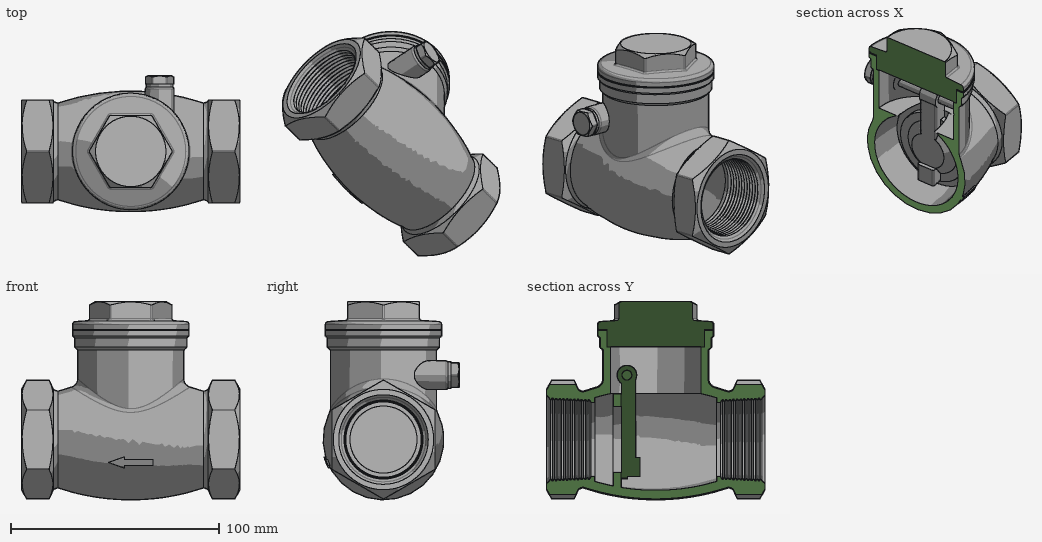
import cadquery as cq
import math


half_length = 52.5
belly_radius = 29.0
shoulder_x = 34.8
shoulder_radius = 23.3
wall = 4.5

end_hex_flats = 49.5
end_hex_edge_radius = 0.7
end_face_radius = 24.1
end_chamfer_angle = 30
end_hex_inner_x = 39.2
neck_start_x = 37.1
neck_start_radius = 24.2
neck_sag = 0.25

mouth_radius = 21.5
mouth_chamfer = 1.2
thread_pitch = 1.75
thread_depth = 1.25
thread_turns = 11
thread_taper = 0.8
throat_radius = 18.1
throat_length = 2.0

neck_radius = 25.5
neck_fillet = 4.0
collar_radius = 27.0
flange_radius = 28.0
collar_bottom_z = 42.9
collar_chamfer_z = 44.3
collar_top_z = 48.8
flange_chamfer_z = 49.8
flange_top_z = 52.4
bonnet_bore_radius = 22.0
bonnet_bore_bottom_z = 22.0
cap_thread_radius = 23.5
cap_thread_bottom_z = 44.5

gasket_thickness = 0.5
gasket_radius = 27.6
cap_bottom_z = flange_top_z + gasket_thickness
cap_shoulder_z = 56.7
cap_rim_radius = 1.6
cap_crown_rise = 0.6
cap_hex_flats = 34.7
cap_hex_edge_radius = 1.0
cap_hex_base_fillet = 0.9
cap_hex_chamfer_angle = 30
cap_top_z = 66.3
cap_top_radius = 16.9

hinge_x = 13.85
hinge_z = 30.9
boss_radius = 13.87 / 2
boss_inner_y = 15.0
boss_end_y = 31.0
boss_edge_radius = 1.1
washer_radius = 6.5
washer_thickness = 1.4
plug_hex_flats = 12.0
plug_hex_edge_radius = 0.6
plug_end_y = 36.4
plug_tip_radius = 5.6
plug_chamfer_angle = 30
shank_radius = 9.5 / 2
shank_end_y = 20.0
pin_radius = 2.5
pin_end_y = -18.5

seat_x = 16.5
seat_thickness = 4.0
seat_bore_radius = 32.2 / 2
disc_radius = 19.0
disc_thickness = 3.0
hub_base_radius = 14.5
hub_top_radius = 9.5
hub_height = 4.0
arm_width = 9.5
arm_edge_radius = 0.9
arm_eye_radius = 9.5 / 2
stop_height = 2.0
stop_top_z = -8.5
stop_bottom_z = -17.8

selector_margin = 0.1

arrow_z = -11.0
arrow_half_length = 10.75
arrow_head_length = 7.65
arrow_head_half_width = 2.7
arrow_shaft_half_width = 1.35
arrow_height = 0.8


def hex_corner_diameter(flats):
    return flats / math.cos(math.pi / 6)


def chamfer_rise(radius_change, angle):
    return radius_change * math.tan(math.radians(angle))


def belly_profile(offset, x_end):
    """Half profile of the belly, moved outward by offset, from -x_end to x_end."""
    sag = belly_radius - shoulder_radius
    arc_radius = (shoulder_x**2 + sag**2) / (2 * sag)
    arc_center_r = belly_radius - arc_radius
    end_radius = arc_center_r + math.sqrt((arc_radius + offset) ** 2 - x_end**2)
    return (
        cq.Workplane("XY")
        .moveTo(-x_end, 0)
        .lineTo(-x_end, end_radius)
        .threePointArc((0, belly_radius + offset), (x_end, end_radius))
        .lineTo(x_end, 0)
        .close()
    )


def revolve_about_x(profile):
    return profile.revolve(360, (0, 0, 0), (1, 0, 0))


def revolve_about_z(profile):
    return profile.revolve(360, (0, 0, 0), (0, 1, 0))


def belly(offset, x_end):
    return revolve_about_x(belly_profile(offset, x_end))


def pipe_end():
    """Chamfered hexagon at the -X end, with the concave neck that joins it to the belly."""
    corner_radius = hex_corner_diameter(end_hex_flats) / 2
    hexagon = (
        cq.Workplane("YZ", origin=(-half_length, 0, 0))
        .transformed(rotate=(0, 0, 90))
        .polygon(6, 2 * corner_radius)
        .extrude(half_length - shoulder_x)
        .edges("|X")
        .fillet(end_hex_edge_radius)
    )
    face_chamfer = chamfer_rise(corner_radius - end_face_radius, end_chamfer_angle)
    neck_middle = (
        -(neck_start_x + shoulder_x) / 2,
        (neck_start_radius + shoulder_radius) / 2 - neck_sag,
    )
    envelope = revolve_about_x(
        cq.Workplane("XY")
        .moveTo(-half_length, 0)
        .lineTo(-half_length, end_face_radius)
        .lineTo(-half_length + face_chamfer, corner_radius)
        .lineTo(-end_hex_inner_x, corner_radius)
        .lineTo(-neck_start_x, neck_start_radius)
        .threePointArc(neck_middle, (-shoulder_x, shoulder_radius))
        .lineTo(-shoulder_x, 0)
        .close()
    )
    return hexagon.intersect(envelope)


def pipe_thread():
    """Cutter for the -X mouth: chamfer, tapered V thread rings and plain throat."""
    root_radius = mouth_radius - mouth_chamfer
    depth = mouth_chamfer
    profile = (
        cq.Workplane("XY")
        .moveTo(-half_length, 0)
        .lineTo(-half_length, mouth_radius)
        .lineTo(-half_length + depth, root_radius)
    )
    for turn in range(thread_turns):
        ring_radius = root_radius - thread_taper * (turn + 1) / thread_turns
        profile = profile.lineTo(-half_length + depth + thread_pitch / 2, ring_radius - thread_depth)
        depth += thread_pitch
        profile = profile.lineTo(-half_length + depth, ring_radius)
    throat_start = -half_length + depth + thread_pitch / 2
    throat_end = throat_start + throat_length
    return revolve_about_x(
        profile.lineTo(throat_start, throat_radius)
        .lineTo(throat_end, throat_radius)
        .lineTo(throat_end, 0)
        .close()
    )


def chamber():
    """Hollow of the belly, split by the seat ring."""
    thread_length = mouth_chamfer + thread_pitch * (thread_turns + 1 / 2)
    chamber_half_length = half_length - thread_length - throat_length
    hollow = belly(-wall, chamber_half_length)
    seat = (
        cq.Workplane("YZ", origin=(seat_x, 0, 0))
        .circle(belly_radius)
        .circle(seat_bore_radius)
        .extrude(seat_thickness)
    )
    return hollow.cut(seat)


def bonnet_collar():
    return revolve_about_z(
        cq.Workplane("XZ")
        .moveTo(0, collar_bottom_z)
        .lineTo(neck_radius, collar_bottom_z)
        .lineTo(collar_radius, collar_chamfer_z)
        .lineTo(collar_radius, collar_top_z)
        .lineTo(flange_radius, flange_chamfer_z)
        .lineTo(flange_radius, flange_top_z)
        .lineTo(0, flange_top_z)
        .close()
    )


def rod_along_y(radius, y_start, y_end):
    """Cylinder on the hinge axis between two Y positions, y_start < y_end."""
    return (
        cq.Workplane("XZ", origin=(hinge_x, y_start, hinge_z))
        .circle(radius)
        .extrude(-(y_end - y_start))
    )


def hinge_boss():
    return rod_along_y(boss_radius, boss_inner_y, boss_end_y).faces(">Y").edges().fillet(boss_edge_radius)


def flow_arrow():
    head_x = -arrow_half_length + arrow_head_length
    prism = (
        cq.Workplane("XZ", origin=(0, 0, arrow_z))
        .polyline(
            [
                (-arrow_half_length, 0),
                (head_x, arrow_head_half_width),
                (head_x, arrow_shaft_half_width),
                (arrow_half_length, arrow_shaft_half_width),
                (arrow_half_length, -arrow_shaft_half_width),
                (head_x, -arrow_shaft_half_width),
                (head_x, -arrow_head_half_width),
            ]
        )
        .close()
        .extrude(belly_radius + arrow_height)
    )
    skin = belly(arrow_height, shoulder_x).cut(belly(-wall / 2, shoulder_x))
    return prism.intersect(skin)


def build_housing():
    neck = cq.Workplane("XY").circle(neck_radius).extrude(collar_bottom_z)
    shell = belly(0, shoulder_x).union(neck)
    junction_zone = cq.selectors.BoxSelector(
        (-belly_radius, -belly_radius, selector_margin),
        (belly_radius, belly_radius, collar_bottom_z - selector_margin),
    )
    shell = shell.edges(junction_zone).edges("not(#Z or |Z)").fillet(neck_fillet)
    end = pipe_end()
    shell = shell.union(end).union(end.mirror("YZ"))
    shell = shell.union(bonnet_collar()).union(hinge_boss()).union(flow_arrow())

    thread = pipe_thread()
    bonnet_bore = (
        cq.Workplane("XY", origin=(0, 0, bonnet_bore_bottom_z))
        .circle(bonnet_bore_radius)
        .extrude(flange_top_z - bonnet_bore_bottom_z)
    )
    cap_thread = (
        cq.Workplane("XY", origin=(0, 0, cap_thread_bottom_z))
        .circle(cap_thread_radius)
        .extrude(flange_top_z - cap_thread_bottom_z)
    )
    hollows = [chamber(), thread, thread.mirror("YZ"), bonnet_bore, cap_thread, *plug_shank_parts()]
    for hollow in hollows:
        shell = shell.cut(hollow)
    return shell


def build_gasket():
    return (
        cq.Workplane("XY", origin=(0, 0, flange_top_z))
        .circle(gasket_radius)
        .circle(cap_thread_radius)
        .extrude(gasket_thickness)
    )


def build_cap():
    crown_z = cap_shoulder_z + cap_crown_rise
    plate = revolve_about_z(
        cq.Workplane("XZ")
        .moveTo(0, cap_thread_bottom_z)
        .lineTo(cap_thread_radius, cap_thread_bottom_z)
        .lineTo(cap_thread_radius, cap_bottom_z)
        .lineTo(flange_radius, cap_bottom_z)
        .lineTo(flange_radius, cap_shoulder_z - cap_rim_radius)
        .radiusArc((flange_radius - cap_rim_radius, cap_shoulder_z), -cap_rim_radius)
        .lineTo(cap_hex_flats / 2, crown_z)
        .lineTo(0, crown_z)
        .close()
    )
    hexagon = (
        cq.Workplane("XY", origin=(0, 0, cap_bottom_z))
        .polygon(6, hex_corner_diameter(cap_hex_flats))
        .extrude(cap_top_z - cap_bottom_z)
        .edges("|Z")
        .fillet(cap_hex_edge_radius)
    )
    cap = plate.union(hexagon)
    base_edges = cq.selectors.BoxSelector(
        (-flange_radius, -flange_radius, cap_shoulder_z + selector_margin),
        (flange_radius, flange_radius, crown_z + selector_margin),
    )
    cap = cap.edges(base_edges).edges("not |Z").fillet(cap_hex_base_fillet)
    chamfer_drop = chamfer_rise(flange_radius - cap_top_radius, cap_hex_chamfer_angle)
    envelope = revolve_about_z(
        cq.Workplane("XZ")
        .moveTo(0, cap_thread_bottom_z)
        .lineTo(flange_radius, cap_thread_bottom_z)
        .lineTo(flange_radius, cap_top_z - chamfer_drop)
        .lineTo(cap_top_radius, cap_top_z)
        .lineTo(0, cap_top_z)
        .close()
    )
    return cap.intersect(envelope)


def plug_shank_parts():
    """Threaded shank and the thinner hinge pin that continues it."""
    shank = rod_along_y(shank_radius, shank_end_y, boss_end_y + washer_thickness)
    pin = rod_along_y(pin_radius, pin_end_y, shank_end_y)
    return [shank, pin]


def build_washer():
    shank, _ = plug_shank_parts()
    washer = rod_along_y(washer_radius, boss_end_y, boss_end_y + washer_thickness)
    return washer.cut(shank)


def build_plug():
    """Hexagon plug whose shank carries the hinge pin."""
    head_y = boss_end_y + washer_thickness
    corner_radius = hex_corner_diameter(plug_hex_flats) / 2
    head = (
        cq.Workplane("XZ", origin=(hinge_x, head_y, hinge_z))
        .polygon(6, 2 * corner_radius)
        .extrude(-(plug_end_y - head_y))
        .edges("|Y")
        .fillet(plug_hex_edge_radius)
    )
    chamfer_drop = chamfer_rise(corner_radius - plug_tip_radius, plug_chamfer_angle)
    envelope = rod_along_y(corner_radius, head_y, plug_end_y)
    envelope = envelope.faces(">Y").chamfer(chamfer_drop, corner_radius - plug_tip_radius)
    plug = head.intersect(envelope)
    for part in plug_shank_parts():
        plug = plug.union(part)
    return plug


def disc_bar(front_x, bottom_z, top_z):
    """Upright bar from front_x to the seat face, with rounded front edges."""
    return (
        cq.Workplane("XY", origin=((seat_x + front_x) / 2, 0, bottom_z))
        .rect(seat_x - front_x, arm_width)
        .extrude(top_z - bottom_z)
        .faces("<X")
        .edges("|Z")
        .fillet(arm_edge_radius)
    )


def build_disc():
    """Closing disc with its conical hub, stop bar and swing arm."""
    back_x = seat_x - disc_thickness
    hub_x = back_x - hub_height
    disc = revolve_about_x(
        cq.Workplane("XY")
        .moveTo(hub_x, 0)
        .lineTo(hub_x, hub_top_radius)
        .lineTo(back_x, hub_base_radius)
        .lineTo(back_x, disc_radius)
        .lineTo(seat_x, disc_radius)
        .lineTo(seat_x, 0)
        .close()
    )

    _, pin = plug_shank_parts()
    eye = rod_along_y(arm_eye_radius, -arm_width / 2, arm_width / 2)
    disc = disc.union(disc_bar(hub_x, 0, hinge_z)).union(eye)
    disc = disc.union(disc_bar(hub_x - stop_height, stop_bottom_z, stop_top_z))
    return disc.cut(pin)


housing = build_housing()
gasket = build_gasket()
cap = build_cap()
washer = build_washer()
plug = build_plug()
disc = build_disc()

bodies = [housing, gasket, cap, washer, plug, disc]
result = cq.Compound.makeCompound([body.solids().val() for body in bodies])